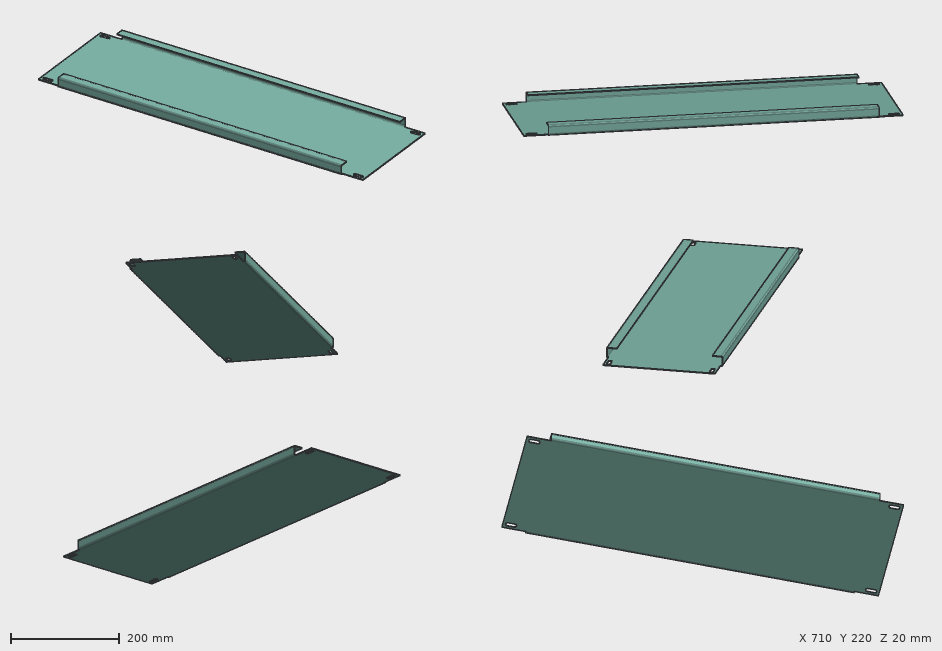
import cadquery as cq

plate_length = 710.0
overall_width = 220.0
overall_height = 20.0
sheet = 2.0

plate_width = 211.5

flange_length = 619.0
lip_width = 20.0
bend_outer_radius = 3.0
bend_inner_radius = bend_outer_radius - sheet

slot_length = 20.5
slot_width = 7.0
slot_spacing_x = 679.0
slot_spacing_y = 194.5


def make_plate():
    """Flat rectangular sheet resting on Z = 0."""
    return cq.Workplane("XY").box(plate_length, plate_width, sheet, centered=(True, True, False))


def make_folded_channel():
    """Sheet folded into a C section along X, with rounded bends."""
    outer = (
        cq.Workplane("XY")
        .box(flange_length, overall_width, overall_height, centered=(True, True, False))
        .edges("|X")
        .fillet(bend_outer_radius)
    )
    inner = (
        cq.Workplane("XY")
        .workplane(offset=sheet)
        .box(
            flange_length,
            overall_width - 2 * sheet,
            overall_height - 2 * sheet,
            centered=(True, True, False),
        )
        .edges("|X")
        .fillet(bend_inner_radius)
    )
    opening = (
        cq.Workplane("XY")
        .workplane(offset=overall_height / 2)
        .box(flange_length, overall_width - 2 * lip_width, overall_height, centered=(True, True, False))
    )
    return outer.cut(inner).cut(opening)


def make_slots():
    """Four through slots, long along X, one near each plate corner."""
    return (
        cq.Workplane("XY")
        .rarray(slot_spacing_x, slot_spacing_y, 2, 2)
        .slot2D(slot_length, slot_width)
        .extrude(sheet)
    )


result = make_plate().union(make_folded_channel()).cut(make_slots())